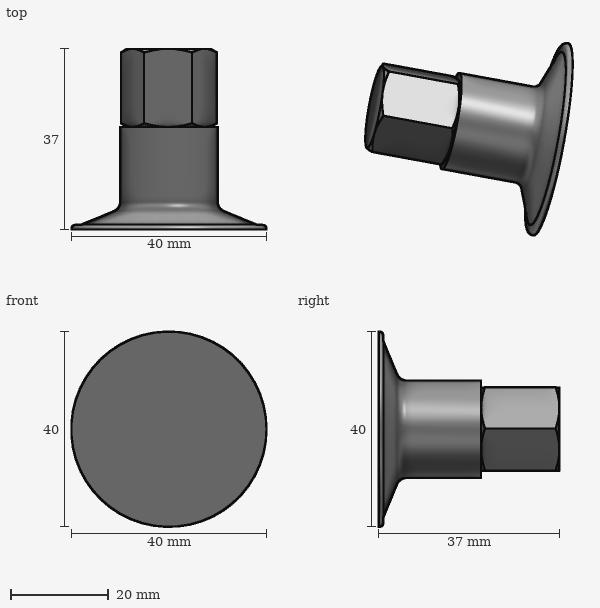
import cadquery as cq
import math

cup_radius = 20.0
lip_height = 1.0
lip_rounding = 0.9
cone_base_radius = 18.0
neck_radius = 10.0
neck_fillet_radius = 2.0
cone_slope = math.radians(22.5)
neck_end = 21.0
overall_length = 37.0

hex_sides = 6
hex_across_flats = 17.0
hex_rotation = 1.0
hex_chamfer_angle = math.radians(30)

hex_length = overall_length - neck_end
hex_across_corners = hex_across_flats / math.cos(math.pi / hex_sides)


def make_cup():
    """Solid of revolution: rounded lip, sloping cone, filleted neck."""
    cone_top = lip_height + (cone_base_radius - neck_radius) * math.tan(cone_slope)
    tangent = neck_fillet_radius * math.tan((math.pi / 2 - cone_slope) / 2)
    fillet_cone_radius = neck_radius + tangent * math.cos(cone_slope)
    fillet_cone_height = cone_top - tangent * math.sin(cone_slope)
    return (
        cq.Workplane("XY")
        .lineTo(cup_radius, 0)
        .lineTo(cup_radius, lip_height - lip_rounding)
        .radiusArc((cup_radius - lip_rounding, lip_height), -lip_rounding)
        .lineTo(cone_base_radius, lip_height)
        .lineTo(fillet_cone_radius, fillet_cone_height)
        .radiusArc((neck_radius, cone_top + tangent), neck_fillet_radius)
        .lineTo(neck_radius, neck_end)
        .lineTo(0, neck_end)
        .close()
        .revolve(360, (0, 0), (0, 1))
    )


def make_hex():
    """Hexagonal prism with its corners bevelled conically at both ends."""
    end_radius = hex_across_flats / 2
    corner_radius = hex_across_corners / 2
    bevel_height = (corner_radius - end_radius) * math.tan(hex_chamfer_angle)
    prism = (
        cq.Workplane("XZ", origin=(0, neck_end, 0))
        .polygon(hex_sides, hex_across_corners)
        .extrude(-hex_length)
        .rotate((0, 0, 0), (0, 1, 0), -hex_rotation)
    )
    bevel_envelope = (
        cq.Workplane("XY", origin=(0, neck_end, 0))
        .lineTo(end_radius, 0)
        .lineTo(corner_radius, bevel_height)
        .lineTo(corner_radius, hex_length - bevel_height)
        .lineTo(end_radius, hex_length)
        .lineTo(0, hex_length)
        .close()
        .revolve(360, (0, 0), (0, 1))
    )
    return prism.intersect(bevel_envelope)


result = make_cup().union(make_hex())